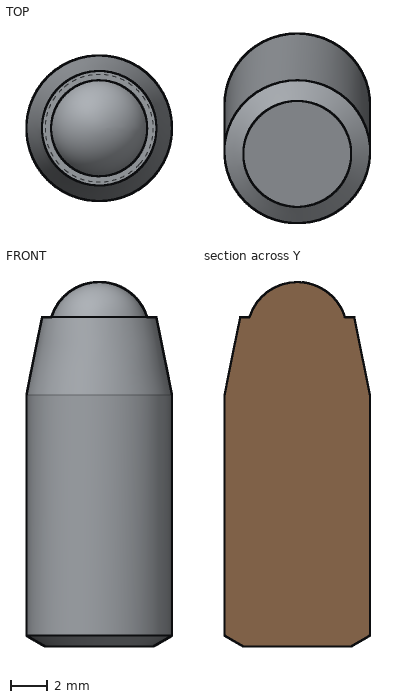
import cadquery as cq
import math

total_height = 20.0
body_radius = 4.0
chamfer_height = 0.6
chamfer_angle = 60.0
shoulder_height = 13.8
nose_top_height = 18.05
nose_top_radius = 3.15
ball_radius = 2.75

base_radius = body_radius - chamfer_height * math.tan(math.radians(chamfer_angle))
ball_center_height = total_height - ball_radius


def make_body():
    """Revolve the chamfered cylinder with its tapered nose around Z."""
    profile = (
        cq.Workplane("XZ")
        .moveTo(0, 0)
        .lineTo(base_radius, 0)
        .lineTo(body_radius, chamfer_height)
        .lineTo(body_radius, shoulder_height)
        .lineTo(nose_top_radius, nose_top_height)
        .lineTo(0, nose_top_height)
        .close()
    )
    return profile.revolve(360, (0, 0, 0), (0, 1, 0))


def make_ball():
    """Ball seated in the nose, with its crown standing above it."""
    return cq.Workplane("XY").sphere(ball_radius).translate((0, 0, ball_center_height))


result = make_body().union(make_ball())